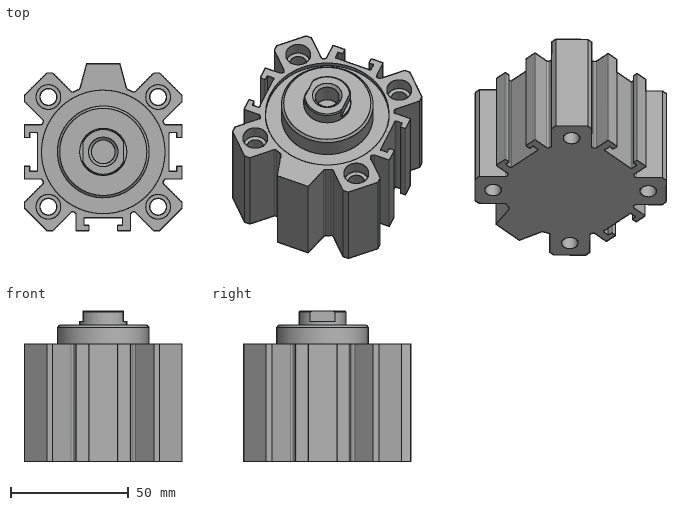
import cadquery as cq
import math

body_height = 50.0
body_half = 33.5
barrel_radius = 28.5
root_fillet = 1.0

arm_width = 17.05
arm_reach = 40.6
bolt_offset = 23.3
bolt_diameter = 7.0
counterbore_diameter = 10.5
counterbore_depth = 6.5

rail_width = 23.15
slot_width = 16.3
slot_floor = 28.0
slot_mouth = 12.1
lip_thickness = 2.4
rail_fillet = 0.3

tab_reach = 37.5
tab_tip_width = 14.2
tab_draft = 15.0

recess_diameter = 52.5
recess_depth = 2.0
collar_diameter = 39.0
collar_height = 8.0
collar_chamfer = 1.0

rod_diameter = 20.0
rod_projection = 5.95
rod_chamfer = 0.5
flats_width = 17.05
flats_height = 4.5
socket_diameter = 10.1
socket_mouth_diameter = 12.5
socket_depth = 10.65

tolerance = 0.01

recess_floor = body_height - recess_depth
collar_top = body_height + collar_height
rod_top = collar_top + rod_projection
rail_angles = (180, 270, 0)


def radial_block(inner, outer, width, angle):
    """Full-height block between two distances from the axis, turned to the given angle."""
    block = cq.Workplane("XY").box(outer - inner, width, body_height, centered=(False, True, False))
    return block.translate((inner, 0, 0)).rotate((0, 0, 0), (0, 0, 1), angle)


def corner_arms():
    arms = radial_block(-arm_reach, arm_reach, arm_width, 45)
    arms = arms.union(radial_block(-arm_reach, arm_reach, arm_width, 135))
    envelope = cq.Workplane("XY").box(2 * body_half, 2 * body_half, body_height, centered=(True, True, False))
    return arms.intersect(envelope)


def tapered_tab():
    tip = tab_tip_width / 2
    root = tip + tab_reach * math.tan(math.radians(tab_draft))
    outline = [(-root, 0), (root, 0), (tip, tab_reach), (-tip, tab_reach)]
    return cq.Workplane("XY").polyline(outline).close().extrude(body_height)


def rail_slot():
    """T-slot of the +X rail."""
    slot = radial_block(slot_floor, body_half - lip_thickness, slot_width, 0)
    slot = slot.edges("|Z and <X").fillet(rail_fillet)
    return slot.union(radial_block(slot_floor, body_half, slot_mouth, 0))


def slotted_rail(angle):
    """Rail with its T-slot, reaching in to the axis, turned to the given angle."""
    rail = radial_block(0, body_half, rail_width, 0).cut(rail_slot())
    rail = rail.edges("|Z and >X").fillet(rail_fillet)
    lip_edges = rail.edges("|Z").filter(
        lambda edge: abs(abs(edge.Center().y) - slot_mouth / 2) < tolerance
        and abs(edge.Center().x - (body_half - lip_thickness)) < tolerance
    )
    rail = lip_edges.fillet(rail_fillet)
    return rail.rotate((0, 0, 0), (0, 0, 1), angle)


def make_housing():
    housing = cq.Workplane("XY").circle(barrel_radius).extrude(body_height)
    housing = housing.union(corner_arms()).union(tapered_tab())
    for angle in rail_angles:
        housing = housing.union(slotted_rail(angle))

    roots = housing.edges("|Z").filter(
        lambda edge: abs(math.hypot(edge.Center().x, edge.Center().y) - barrel_radius) < tolerance
    )
    housing = roots.fillet(root_fillet)

    for angle in rail_angles:
        housing = housing.cut(rail_slot().rotate((0, 0, 0), (0, 0, 1), angle))

    bolt_positions = [(x, y) for x in (-bolt_offset, bolt_offset) for y in (-bolt_offset, bolt_offset)]
    housing = (
        housing.faces(">Z").workplane(origin=(0, 0, 0)).pushPoints(bolt_positions)
        .cboreHole(bolt_diameter, counterbore_diameter, counterbore_depth)
    )

    recess = cq.Workplane("XY").workplane(offset=recess_floor).circle(recess_diameter / 2).extrude(recess_depth)
    collar = (
        cq.Workplane("XY").workplane(offset=recess_floor).circle(collar_diameter / 2)
        .extrude(collar_top - recess_floor)
        .faces(">Z").chamfer(collar_chamfer)
    )
    rod_bore = (
        cq.Workplane("XY").workplane(offset=recess_floor).circle(rod_diameter / 2)
        .extrude(collar_top - recess_floor)
    )
    return housing.cut(recess).union(collar).cut(rod_bore)


def make_rod():
    rod = (
        cq.Workplane("XY").workplane(offset=recess_floor).circle(rod_diameter / 2)
        .extrude(rod_top - recess_floor)
        .faces(">Z").chamfer(rod_chamfer)
    )

    for side in (-1, 1):
        flat = cq.Workplane("XY").box(
            rod_diameter, rod_diameter, flats_height, centered=(True, True, False)
        )
        rod = rod.cut(flat.translate((side * (flats_width + rod_diameter) / 2, 0, rod_top - flats_height)))

    socket_chamfer = (socket_mouth_diameter - socket_diameter) / 2
    socket_outline = [
        (0, rod_top),
        (socket_mouth_diameter / 2, rod_top),
        (socket_diameter / 2, rod_top - socket_chamfer),
        (socket_diameter / 2, rod_top - socket_depth),
        (0, rod_top - socket_depth),
    ]
    socket = cq.Workplane("XZ").polyline(socket_outline).close().revolve(360, (0, 0, 0), (0, 1, 0))
    return rod.cut(socket)


housing = make_housing()
rod = make_rod()
result = cq.Compound.makeCompound([housing.val(), rod.val()])